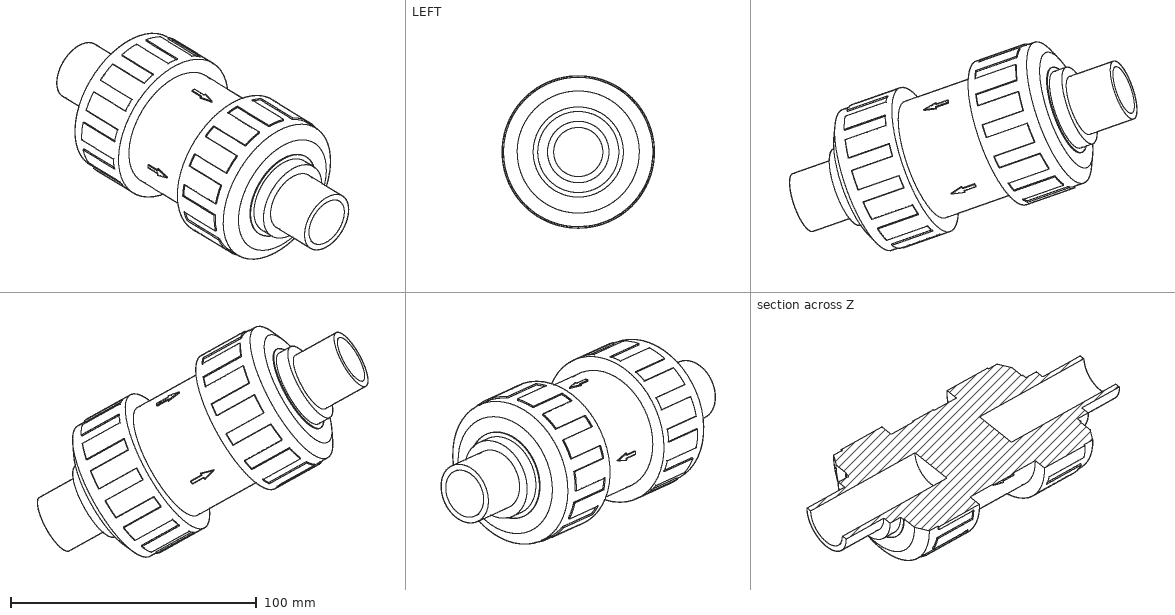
import cadquery as cq

half_length = 72.5

pipe_diameter = 25.0
bore_diameter = 20.0
shoulder_diameter = 33.0
shoulder_end = 52.6
neck_ring_diameter = 36.7
neck_ring_end = 47.0

body_diameter = 50.22

nut_diameter = 62.0
nut_root_diameter = 60.76
nut_face_diameter = 49.7
nut_inner_face = 17.2
nut_outer_face = 46.6
nut_chamfer_start = 43.4
tooth_end = 38.75
groove_start = 20.3
groove_count = 14
groove_angle = 10.1
groove_offset_angle = 5.15
cutter_clearance = 1.0

arrow_count = 4
arrow_half_length = 5.5
arrow_shaft_width = 1.4
arrow_head_width = 3.2
arrow_height = 0.5


def cylinder_x(diameter, start, end):
    """Solid cylinder on the X axis between two X positions."""
    return cq.Workplane("YZ").workplane(offset=start).circle(diameter / 2).extrude(end - start)


def make_core():
    """Body, shoulders and pipe ends: stepped cylinders centred on the origin."""
    core = cylinder_x(body_diameter, -nut_chamfer_start, nut_chamfer_start)
    for diameter, end in (
        (neck_ring_diameter, neck_ring_end),
        (shoulder_diameter, shoulder_end),
        (pipe_diameter, half_length),
    ):
        core = core.union(cylinder_x(diameter, -end, end))
    return core


def make_groove_cutter():
    """One grip groove at +Z: a ring sector removed between neighbouring teeth."""
    root_radius = nut_root_diameter / 2
    outer_radius = nut_diameter / 2 + cutter_clearance
    return (
        cq.Workplane("XZ")
        .moveTo(groove_start, root_radius)
        .lineTo(tooth_end, root_radius)
        .lineTo(tooth_end, outer_radius)
        .lineTo(groove_start, outer_radius)
        .close()
        .revolve(groove_angle, (0, 0, 0), (1, 0, 0))
        .rotate((0, 0, 0), (1, 0, 0), -groove_angle / 2)
    )


def make_nut():
    """Nut on the +X side: collar with grip teeth and a chamfered outer end."""
    nut = (
        cq.Workplane("XZ")
        .moveTo(nut_inner_face, 0)
        .lineTo(nut_inner_face, nut_diameter / 2)
        .lineTo(tooth_end, nut_diameter / 2)
        .lineTo(tooth_end, nut_root_diameter / 2)
        .lineTo(nut_chamfer_start, nut_root_diameter / 2)
        .lineTo(nut_outer_face, nut_face_diameter / 2)
        .lineTo(nut_outer_face, 0)
        .close()
        .revolve(360, (0, 0, 0), (1, 0, 0))
    )
    cutter = make_groove_cutter()
    pitch_angle = 360 / groove_count
    for index in range(groove_count):
        angle = groove_offset_angle - index * pitch_angle
        nut = nut.cut(cutter.rotate((0, 0, 0), (1, 0, 0), angle))
    return nut


def make_arrow():
    """Raised flow arrow on the +Z side of the body, following its curve."""
    outline = (
        cq.Workplane("XY")
        .moveTo(-arrow_half_length, -arrow_shaft_width / 2)
        .lineTo(0, -arrow_shaft_width / 2)
        .lineTo(0, -arrow_head_width / 2)
        .lineTo(arrow_half_length, 0)
        .lineTo(0, arrow_head_width / 2)
        .lineTo(0, arrow_shaft_width / 2)
        .lineTo(-arrow_half_length, arrow_shaft_width / 2)
        .close()
        .extrude(body_diameter)
    )
    top_diameter = body_diameter + 2 * arrow_height
    return outline.intersect(cylinder_x(top_diameter, -arrow_half_length, arrow_half_length))


result = make_core()

right_nut = make_nut()
left_nut = right_nut.rotate((0, 0, 0), (0, 1, 0), 180)
result = result.union(right_nut).union(left_nut)

arrow = make_arrow()
arrow_pitch_angle = 360 / arrow_count
for index in range(arrow_count):
    result = result.union(arrow.rotate((0, 0, 0), (1, 0, 0), index * arrow_pitch_angle))

for start, end in ((-half_length, -nut_inner_face), (nut_inner_face, half_length)):
    result = result.cut(cylinder_x(bore_diameter, start, end))